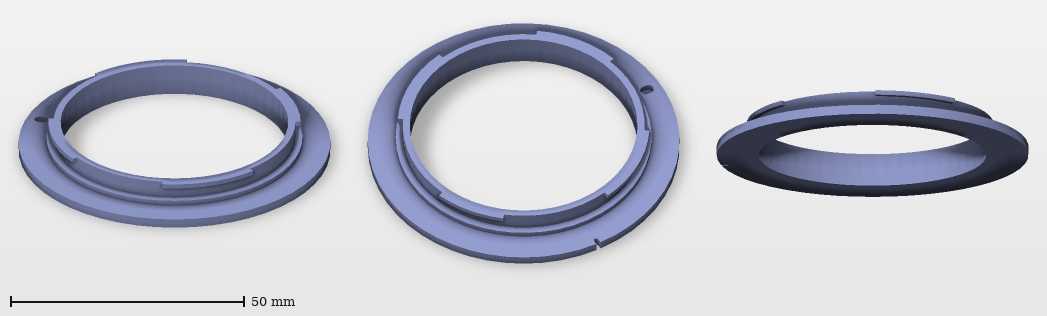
import cadquery as cq
import math

flange_diameter = 66.75
flange_thickness = 2.0
bore_diameter = 48.75

step_diameter = 54.8
step_height = 1.2
collar_diameter = 51.8
total_height = 7.0

lug_diameter = 54.0
lug_thickness = 1.0
lug_angles = [
    (19.2, 52.0),
    (103.3, 148.0),
    (195.7, 235.2),
    (283.3, 327.6),
]

notch_width = 1.0
notch_depth = 1.5

slot_length = 3.0
slot_width = 2.3
slot_depth = 1.5
slot_center_x = -30.1

step_top = flange_thickness + step_height


def cylinder(diameter, bottom, top):
    return cq.Workplane("XY").workplane(offset=bottom).circle(diameter / 2).extrude(top - bottom)


def polar_point(radius, angle):
    return (radius * math.cos(math.radians(angle)), radius * math.sin(math.radians(angle)))


def lug(start_angle, end_angle):
    """Ring sector with radial ends that reaches from inside the collar wall to the lug radius."""
    inner_radius = (bore_diameter + collar_diameter) / 4
    outer_radius = lug_diameter / 2
    middle_angle = (start_angle + end_angle) / 2
    return (
        cq.Workplane("XY")
        .workplane(offset=total_height - lug_thickness)
        .moveTo(*polar_point(inner_radius, start_angle))
        .lineTo(*polar_point(outer_radius, start_angle))
        .threePointArc(polar_point(outer_radius, middle_angle), polar_point(outer_radius, end_angle))
        .lineTo(*polar_point(inner_radius, end_angle))
        .threePointArc(polar_point(inner_radius, middle_angle), polar_point(inner_radius, start_angle))
        .close()
        .extrude(lug_thickness)
    )


def index_notch():
    """Through slot centered on the rim, so that its inner half cuts the notch."""
    return (
        cq.Workplane("XY")
        .center(0, flange_diameter / 2)
        .slot2D(2 * notch_depth, notch_width, 90)
        .extrude(flange_thickness)
    )


def lock_pin_slot():
    return (
        cq.Workplane("XY")
        .workplane(offset=flange_thickness - slot_depth)
        .center(slot_center_x, 0)
        .slot2D(slot_length, slot_width)
        .extrude(slot_depth)
    )


body = cylinder(flange_diameter, 0, flange_thickness)
body = body.union(cylinder(step_diameter, flange_thickness, step_top))
body = body.union(cylinder(collar_diameter, step_top, total_height))
for start_angle, end_angle in lug_angles:
    body = body.union(lug(start_angle, end_angle))

result = body.cut(cylinder(bore_diameter, 0, total_height)).cut(index_notch()).cut(lock_pin_slot())